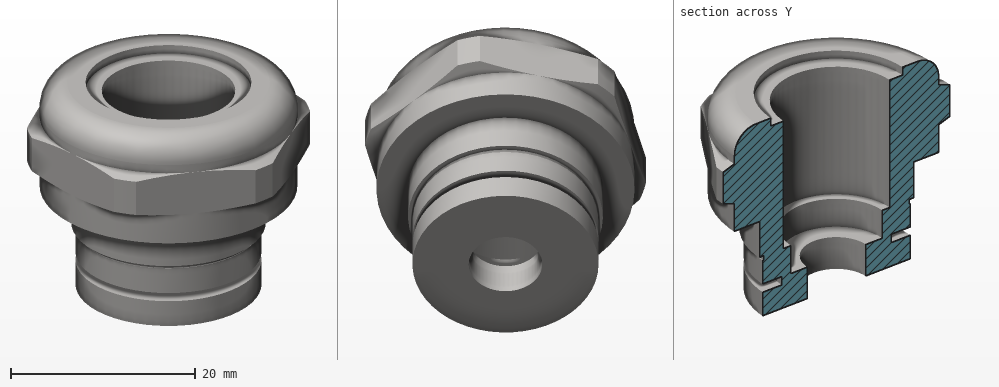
import cadquery as cq
import math

GROOVE_BOTTOM = 3.0
GROOVE_TOP = 4.0
RELIEF_BOTTOM = 7.0
RELIEF_TOP = 7.5
COLLAR_BOTTOM = 12.0
HEX_BOTTOM = 15.5
HEX_TOP = 20.5
DOME_RADIUS = 3.0
TOTAL_HEIGHT = 24.5

SPIGOT_DIAMETER = 20.2
GROOVE_DIAMETER = 15.0
RELIEF_DIAMETER = 20.0
SHANK_DIAMETER = 21.15
BODY_DIAMETER = 28.0

HEX_ACROSS_FLATS = BODY_DIAMETER
HEX_ACROSS_POINTS = HEX_ACROSS_FLATS / math.cos(math.pi / 6)
HEX_CORNER_DIAMETER = 31.0
HEX_CHAMFER_HEIGHT = 0.5

RECESS_DIAMETER = 18.0
RECESS_DEPTH = 1.0
MAIN_BORE_DIAMETER = 14.5
MAIN_BORE_FLOOR = RELIEF_TOP
INNER_BORE_DIAMETER = 12.5
INNER_BORE_FLOOR = GROOVE_TOP
THROUGH_HOLE_DIAMETER = 8.0


def cylinder(diameter, bottom, top):
    """Upright cylinder on the Z axis between two heights."""
    return cq.Workplane("XY").workplane(offset=bottom).circle(diameter / 2).extrude(top - bottom)


def make_lower_body():
    """Stack of turned steps from the spigot up to the shank."""
    spigot = cylinder(SPIGOT_DIAMETER, 0, GROOVE_BOTTOM)
    groove = cylinder(GROOVE_DIAMETER, GROOVE_BOTTOM, GROOVE_TOP)
    upper_spigot = cylinder(SPIGOT_DIAMETER, GROOVE_TOP, RELIEF_BOTTOM)
    relief = cylinder(RELIEF_DIAMETER, RELIEF_BOTTOM, RELIEF_TOP)
    shank = cylinder(SHANK_DIAMETER, RELIEF_TOP, COLLAR_BOTTOM)
    return spigot.union(groove).union(upper_spigot).union(relief).union(shank)


def make_domed_body():
    """Round body with a large fillet around its top face."""
    body = cylinder(BODY_DIAMETER, COLLAR_BOTTOM, TOTAL_HEIGHT)
    return body.faces(">Z").edges().fillet(DOME_RADIUS)


def make_hexagon():
    """Hexagon with corners on the X axis, trimmed by a double-chamfered disc."""
    hexagon = (
        cq.Workplane("XY")
        .workplane(offset=HEX_BOTTOM)
        .polygon(6, HEX_ACROSS_POINTS)
        .extrude(HEX_TOP - HEX_BOTTOM)
    )
    body_radius = BODY_DIAMETER / 2
    corner_radius = HEX_CORNER_DIAMETER / 2
    trim_disc = (
        cq.Workplane("XZ")
        .moveTo(0, HEX_BOTTOM)
        .lineTo(body_radius, HEX_BOTTOM)
        .lineTo(corner_radius, HEX_BOTTOM + HEX_CHAMFER_HEIGHT)
        .lineTo(corner_radius, HEX_TOP - HEX_CHAMFER_HEIGHT)
        .lineTo(body_radius, HEX_TOP)
        .lineTo(0, HEX_TOP)
        .close()
        .revolve(360, (0, 0), (0, 1))
    )
    return hexagon.intersect(trim_disc)


def make_stepped_bore():
    """Cutter for the top recess, the two bores and the through hole."""
    recess = cylinder(RECESS_DIAMETER, TOTAL_HEIGHT - RECESS_DEPTH, TOTAL_HEIGHT)
    main_bore = cylinder(MAIN_BORE_DIAMETER, MAIN_BORE_FLOOR, TOTAL_HEIGHT)
    inner_bore = cylinder(INNER_BORE_DIAMETER, INNER_BORE_FLOOR, TOTAL_HEIGHT)
    through_hole = cylinder(THROUGH_HOLE_DIAMETER, 0, TOTAL_HEIGHT)
    return recess.union(main_bore).union(inner_bore).union(through_hole)


outer_body = make_lower_body().union(make_domed_body()).union(make_hexagon())
result = outer_body.cut(make_stepped_bore())